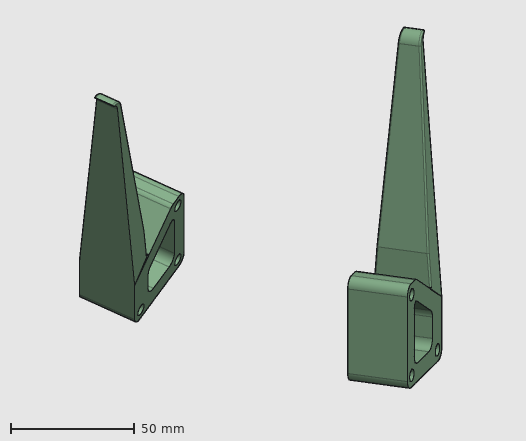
import cadquery as cq
import math

width = 25.9
block_depth = 40.0
block_height = 45.2
slope_front_height = 26.4
slope_angle = 32
slope = math.tan(math.radians(slope_angle))
corner_radius = 4.2

hole_diameter = 5.0
hole_inset = 5.0
window_front = 11.0
window_back = 32.2
window_bottom = 8.0
window_front_height = 23.9
window_radius = 4.2
window_acute_radius = 2.1

arm_depth = window_front
arm_bend_height = 48.9
arm_taper_start = slope_front_height
total_height = 140.5
tip_width = 9.1
tip_overhang = 2.4
tip_thickness = 0.4
hook_outer_radius = 5.6
hook_inner_radius = 4.6
edge_radius = 0.7
root_radius = 0.5
arm_root = window_bottom

hook_center_z = total_height - hook_outer_radius
bend_y = arm_depth + tip_overhang
bend_z = arm_bend_height - hook_center_z
hook_start_angle = math.atan2(bend_z, bend_y) + math.acos(hook_outer_radius / math.hypot(bend_y, bend_z))
hook_middle_angle = (hook_start_angle + math.pi / 2) / 2


def side_plate(points):
    """Extrude a closed (Y, Z) outline across the full width."""
    return cq.Workplane("YZ").polyline(points).close().extrude(width / 2, both=True)


def round_corner(body, y, z, radius):
    """Round the edge running along X through the given (Y, Z) corner."""
    return body.edges(cq.selectors.NearestToPointSelector((0, y, z))).fillet(radius)


def make_block():
    slope_back = (block_height - slope_front_height) / slope
    body = side_plate([
        (0, 0),
        (block_depth, 0),
        (block_depth, block_height),
        (slope_back, block_height),
        (0, slope_front_height),
    ])
    rounded = [(0, 0), (block_depth, 0), (block_depth, block_height), (slope_back, block_height)]
    for y, z in rounded:
        body = round_corner(body, y, z, corner_radius)
    return body


def make_window():
    window_back_height = window_front_height + slope * (window_back - window_front)
    body = side_plate([
        (window_front, window_bottom),
        (window_back, window_bottom),
        (window_back, window_back_height),
        (window_front, window_front_height),
    ])
    rounded = [
        (window_front, window_bottom),
        (window_back, window_bottom),
        (window_front, window_front_height),
    ]
    for y, z in rounded:
        body = round_corner(body, y, z, window_radius)
    return round_corner(body, window_back, window_back_height, window_acute_radius)


def make_holes():
    back = block_depth - hole_inset
    centers = [
        (hole_inset, hole_inset),
        (back, hole_inset),
        (back, block_height - hole_inset),
    ]
    return (
        cq.Workplane("YZ").pushPoints(centers).circle(hole_diameter / 2)
        .extrude(width / 2, both=True)
    )


def make_front_outline():
    """Block the arm is trimmed to: full width at the root, tapering to the tip."""
    return (
        cq.Workplane("XZ")
        .polyline([
            (-width / 2, arm_root),
            (width / 2, arm_root),
            (width / 2, arm_taper_start),
            (tip_width / 2, total_height),
            (-tip_width / 2, total_height),
            (-width / 2, arm_taper_start),
        ])
        .close()
        .extrude(block_depth, both=True)
    )


def hook_outer_point(angle):
    """(Y, Z) point on the outer hook arc, with the angle in radians above +Y."""
    y = hook_outer_radius * math.cos(angle) - tip_overhang
    z = hook_outer_radius * math.sin(angle) + hook_center_z
    return y, z


def make_arm():
    tip_z = total_height - tip_thickness
    sweep = math.acos(1 - tip_overhang / hook_inner_radius)
    inner_z = tip_z - hook_inner_radius * math.sin(sweep)
    inner_mid = (
        hook_inner_radius * (math.cos(sweep / 2) - 1),
        inner_z + hook_inner_radius * math.sin(sweep / 2),
    )
    profile = (
        cq.Workplane("YZ")
        .moveTo(0, arm_root)
        .lineTo(arm_depth, arm_root)
        .lineTo(arm_depth, arm_bend_height)
        .lineTo(*hook_outer_point(hook_start_angle))
        .threePointArc(hook_outer_point(hook_middle_angle), (-tip_overhang, total_height))
        .lineTo(-tip_overhang, tip_z)
        .threePointArc(inner_mid, (0, inner_z))
        .close()
        .extrude(width / 2, both=True)
    )
    return profile.intersect(make_front_outline())


def round_arm_edges(arm):
    """Round the long edges on both sides of the arm's back, from the taper start to the tip."""
    hook_y, hook_z = hook_outer_point(hook_start_angle)
    edge_middles = [
        (arm_depth, (arm_taper_start + arm_bend_height) / 2),
        ((arm_depth + hook_y) / 2, (arm_bend_height + hook_z) / 2),
        hook_outer_point(hook_middle_angle),
    ]
    taper = (width - tip_width) / 2 / (total_height - arm_taper_start)
    edges = []
    for y, z in edge_middles:
        half_width = width / 2 - taper * (z - arm_taper_start)
        for side in (-1, 1):
            selector = cq.selectors.NearestToPointSelector((side * half_width, y, z))
            edges += arm.edges(selector).vals()
    return arm.newObject(edges).fillet(edge_radius)


def make_root_fillet():
    """Concave fillet filling the valley between the arm's back and the sloping top."""
    valley_z = slope_front_height + slope * arm_depth
    tilt = math.radians(slope_angle)
    half_valley = (math.pi / 2 - tilt) / 2
    tangent_length = root_radius / math.tan(half_valley)
    center_y = arm_depth + root_radius
    center_z = valley_z + tangent_length
    toward_valley = tilt + half_valley
    arc_mid = (
        center_y - root_radius * math.cos(toward_valley),
        center_z - root_radius * math.sin(toward_valley),
    )
    slope_point = (
        arm_depth + tangent_length * math.cos(tilt),
        valley_z + tangent_length * math.sin(tilt),
    )
    foot_y = arm_depth - edge_radius
    foot_z = valley_z - edge_radius
    fillet = (
        cq.Workplane("YZ")
        .moveTo(foot_y, center_z)
        .lineTo(arm_depth, center_z)
        .threePointArc(arc_mid, slope_point)
        .lineTo(slope_point[0], foot_z)
        .lineTo(foot_y, foot_z)
        .close()
        .extrude(width / 2, both=True)
    )
    return fillet.intersect(make_front_outline())


arm = round_arm_edges(make_arm())
block = make_block()
result = block.union(arm).union(make_root_fillet()).cut(make_window()).cut(make_holes())